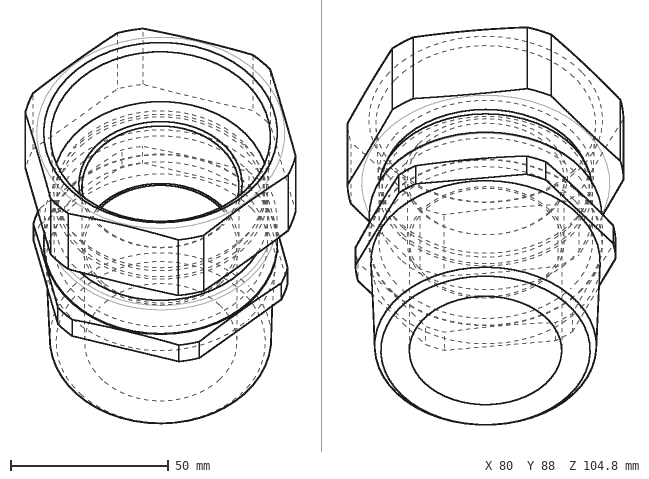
import cadquery as cq
import math


PIPE_TAPER = 1 / 32
HEX_CHAMFER = math.radians(10)
SOCKET_UNDERSIDE_CHAMFER = math.radians(5)
NO_CHAMFER = 0

THREAD_TOP = 40.0
THREAD_TOP_RADIUS = 36.5
THREAD_END_CHAMFER = 2.0
BODY_HEX_FLATS = 75.0
BODY_HEX_CORNERS = 83.0
BODY_HEX_TOP = 49.0
COLLAR_TOP = 62.0
COLLAR_BASE_RADIUS = 37.25
COLLAR_DRAFT = math.radians(1)
COLLAR_FILLET = 1.0
BODY_BORE_RADIUS = 24.25

SPIGOT_BOTTOM = BODY_HEX_TOP
SPIGOT_TOP = 72.75
SPIGOT_RADIUS = 34.0
NECK_RADIUS = 33.0
SOCKET_HEX_BOTTOM = 75.75
SOCKET_HEX_TOP = 104.75
SOCKET_HEX_FLATS = 80.0
SOCKET_HEX_CORNERS = 88.0
SOCKET_BORE_RADIUS = 25.0
BORE_EDGE_CHAMFER = 1.0
PORT_DEPTH = 26.0
PORT_MOUTH_RADIUS = 37.2
PORT_THREAD_RADIUS = 35.0
PORT_MOUTH_DEPTH = 2.0

CHAMFER_INSET = 0.5


def revolve_profile(points):
    """Turn a closed (radius, height) outline about Z."""
    return cq.Workplane("XZ").polyline(points).close().revolve(360, (0, 0, 0), (0, 1, 0))


def cylinder(radius, bottom, top):
    return cq.Workplane("XY").workplane(offset=bottom).circle(radius).extrude(top - bottom)


def chamfered_hex(flats, corners, bottom, top, bottom_slope, top_slope):
    """Hex with flats facing +X and -X, its corners turned round and chamfered at the ends."""
    prism = (
        cq.Workplane("XY")
        .workplane(offset=bottom)
        .polygon(6, flats / math.cos(math.radians(30)))
        .extrude(top - bottom)
        .rotate((0, 0, 0), (0, 0, 1), 30)
    )
    corner_radius = corners / 2
    face_radius = flats / 2 - CHAMFER_INSET
    chamfer_width = corner_radius - face_radius
    outline = [
        (0, bottom),
        (face_radius, bottom),
        (corner_radius, bottom + chamfer_width * math.tan(bottom_slope)),
        (corner_radius, top - chamfer_width * math.tan(top_slope)),
        (face_radius, top),
        (0, top),
    ]
    return prism.intersect(revolve_profile(outline))


def make_threaded_body():
    """Tapered thread, hex and collar, bored through, with a recess for the spigot."""
    thread_end_radius = THREAD_TOP_RADIUS - PIPE_TAPER * (THREAD_TOP - THREAD_END_CHAMFER)
    thread = revolve_profile([
        (0, 0),
        (thread_end_radius - THREAD_END_CHAMFER, 0),
        (thread_end_radius, THREAD_END_CHAMFER),
        (THREAD_TOP_RADIUS, THREAD_TOP),
        (0, THREAD_TOP),
    ])
    hexagon = chamfered_hex(
        BODY_HEX_FLATS, BODY_HEX_CORNERS, THREAD_TOP, BODY_HEX_TOP, NO_CHAMFER, HEX_CHAMFER
    )
    collar_height = COLLAR_TOP - BODY_HEX_TOP
    collar_top_radius = COLLAR_BASE_RADIUS - collar_height * math.tan(COLLAR_DRAFT)
    collar = revolve_profile([
        (0, BODY_HEX_TOP),
        (COLLAR_BASE_RADIUS, BODY_HEX_TOP),
        (collar_top_radius, COLLAR_TOP),
        (0, COLLAR_TOP),
    ])
    collar = collar.faces(">Z").edges().fillet(COLLAR_FILLET)
    bore = cylinder(BODY_BORE_RADIUS, 0, COLLAR_TOP)
    recess = cylinder(SPIGOT_RADIUS, SPIGOT_BOTTOM, COLLAR_TOP)
    return thread.union(hexagon).union(collar).cut(bore).cut(recess)


def make_socket():
    """Hex with a tapered port on top, and a neck and spigot below."""
    hexagon = chamfered_hex(
        SOCKET_HEX_FLATS, SOCKET_HEX_CORNERS, SOCKET_HEX_BOTTOM, SOCKET_HEX_TOP,
        SOCKET_UNDERSIDE_CHAMFER, HEX_CHAMFER,
    )
    spigot = cylinder(SPIGOT_RADIUS, SPIGOT_BOTTOM, SPIGOT_TOP)
    neck = cylinder(NECK_RADIUS, SPIGOT_TOP, SOCKET_HEX_BOTTOM)

    port_floor = SOCKET_HEX_TOP - PORT_DEPTH
    port_floor_radius = PORT_THREAD_RADIUS - PIPE_TAPER * (PORT_DEPTH - PORT_MOUTH_DEPTH)
    cavity = revolve_profile([
        (0, SPIGOT_BOTTOM),
        (SOCKET_BORE_RADIUS, SPIGOT_BOTTOM),
        (SOCKET_BORE_RADIUS, port_floor - BORE_EDGE_CHAMFER),
        (SOCKET_BORE_RADIUS + BORE_EDGE_CHAMFER, port_floor),
        (port_floor_radius, port_floor),
        (PORT_THREAD_RADIUS, SOCKET_HEX_TOP - PORT_MOUTH_DEPTH),
        (PORT_MOUTH_RADIUS, SOCKET_HEX_TOP),
        (0, SOCKET_HEX_TOP),
    ])
    return hexagon.union(neck).union(spigot).cut(cavity)


threaded_body = make_threaded_body()
socket = make_socket()

result = cq.Compound.makeCompound([threaded_body.val(), socket.val()])